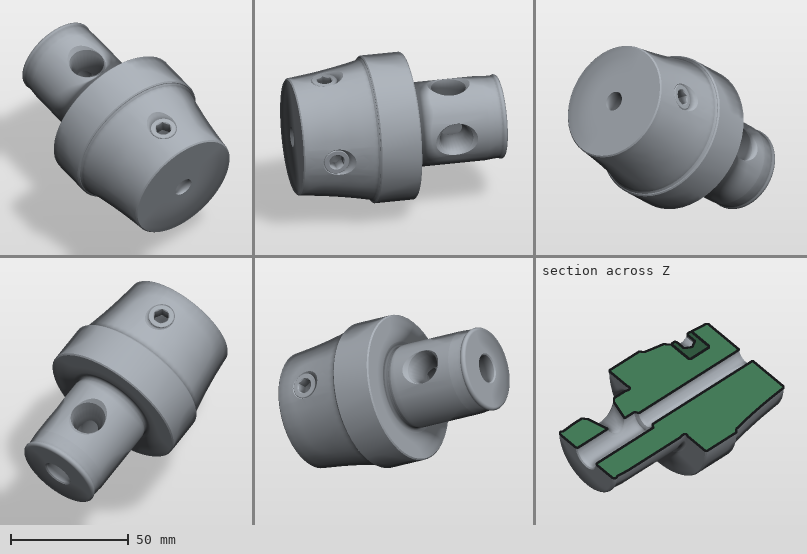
import cadquery as cq
import math


shank_radius = 18.0
nose_bead_radius = 1.3
nose_face_radius = shank_radius - nose_bead_radius
nose_bead_end_x = 2.1
lead_in_start_x = 2.4
lead_in_radius = 17.55
lead_in_end_x = 8.1

undercut_start_x = 37.4
undercut_floor_x = 38.8
undercut_radius = 17.6
undercut_rim_radius = 19.8
undercut_depth_in_flange = 0.3
undercut_corner = 0.8

flange_radius = 31.5
flange_start_x = 40.05
flange_end_x = 57.9
flange_chamfer = 0.5

head_end_x = 90.0
head_root_x = 58.7
head_root_radius = 29.9
head_step_radius = 30.6
head_middle_x = 74.25
head_middle_radius = 26.9
head_end_radius = 25.0
head_end_chamfer = 0.5

bore_radius = 12.0 / 2
bore_chamfer = 0.5
bore_end_x = 32.4
through_radius = 8.5 / 2
drill_point_angle = 118.0

seat_x = 22.2
seat_edge_radius = 7.4
seat_edge_height = 16.3
seat_half_angle = 15.0
seat_flare = 3.6

screw_x = 76.0
screw_radius = 11.0 / 2
screw_top = 25.9
screw_length = 12.0
screw_chamfer = 0.3
countersink_start = 25.5
countersink_height = 4.5
socket_flats = 6.0
socket_depth = 5.4
socket_turn = 30

radial_turns = (0, -90)


def turned(points_x_r):
    """Solid of revolution about X from (x, radius) corners."""
    return cq.Workplane("XY").polyline(points_x_r).close().revolve(360, (0, 0, 0), (1, 0, 0))


def radial_cone(x, low, low_radius, high, high_radius):
    """Cone standing along Z, between two heights above the X axis."""
    cone = cq.Solid.makeCone(low_radius, high_radius, high - low, cq.Vector(x, 0, low))
    return cq.Workplane(cone)


def radial_cylinder(x, low, high, radius):
    """Cylinder standing along Z, between two heights above the X axis."""
    return cq.Workplane("XY", origin=(x, 0, low)).circle(radius).extrude(high - low)


def turn_about_axis(part, angle):
    return part.rotate((0, 0, 0), (1, 0, 0), angle)


def make_blank():
    """Shank, undercut, flange and head as one turned outline."""
    undercut_face_x = flange_start_x + undercut_depth_in_flange
    bead_end_rise = math.sqrt(nose_bead_radius**2 - (nose_bead_end_x - nose_bead_radius) ** 2)
    return (
        cq.Workplane("XY")
        .moveTo(0, 0)
        .lineTo(0, nose_face_radius)
        .threePointArc(
            (nose_bead_radius, shank_radius),
            (nose_bead_end_x, nose_face_radius + bead_end_rise),
        )
        .lineTo(lead_in_start_x, lead_in_radius)
        .lineTo(lead_in_end_x, shank_radius)
        .lineTo(undercut_start_x, shank_radius)
        .lineTo(undercut_floor_x, undercut_radius)
        .lineTo(undercut_face_x - undercut_corner, undercut_radius)
        .radiusArc((undercut_face_x, undercut_radius + undercut_corner), -undercut_corner)
        .lineTo(flange_start_x, undercut_rim_radius)
        .lineTo(flange_start_x, flange_radius - flange_chamfer)
        .lineTo(flange_start_x + flange_chamfer, flange_radius)
        .lineTo(flange_end_x - flange_chamfer, flange_radius)
        .lineTo(flange_end_x, flange_radius - flange_chamfer)
        .lineTo(flange_end_x, head_step_radius)
        .lineTo(head_root_x, head_root_radius)
        .threePointArc(
            (head_middle_x, head_middle_radius),
            (head_end_x - head_end_chamfer, head_end_radius),
        )
        .lineTo(head_end_x, head_end_radius - head_end_chamfer)
        .lineTo(head_end_x, 0)
        .close()
        .revolve(360, (0, 0, 0), (1, 0, 0))
    )


def make_axial_hole():
    """Chamfered bore that ends in a drill point and goes on as a narrower through hole."""
    point_length = (bore_radius - through_radius) / math.tan(math.radians(drill_point_angle / 2))
    return turned([
        (0, 0),
        (0, bore_radius + bore_chamfer),
        (bore_chamfer, bore_radius),
        (bore_end_x, bore_radius),
        (bore_end_x + point_length, through_radius),
        (head_end_x, through_radius),
        (head_end_x, 0),
    ])


def make_seat():
    """Locking seat: a steep cone down to the bore, flared at 45 degrees at its mouth."""
    tip_radius = seat_edge_radius - seat_edge_height * math.tan(math.radians(seat_half_angle))
    cone = radial_cone(seat_x, 0, tip_radius, seat_edge_height, seat_edge_radius)
    flare = radial_cone(
        seat_x, seat_edge_height, seat_edge_radius, seat_edge_height + seat_flare, seat_edge_radius + seat_flare
    )
    return cone.union(flare)


def make_screw_hole():
    """Blind hole for a screw, countersunk at 45 degrees where the head surface is higher."""
    hole = radial_cylinder(screw_x, screw_top - screw_length, countersink_start, screw_radius)
    countersink = radial_cone(
        screw_x,
        countersink_start,
        screw_radius,
        countersink_start + countersink_height,
        screw_radius + countersink_height,
    )
    return hole.union(countersink)


def make_screw():
    """Set screw with a chamfered top and a hexagon socket ending in a drill point."""
    blank = radial_cylinder(screw_x, screw_top - screw_length, screw_top, screw_radius)
    blank = blank.faces(">Z").chamfer(screw_chamfer)
    socket_corner_radius = socket_flats / math.sqrt(3)
    socket_floor = screw_top - socket_depth
    socket = (
        cq.Workplane("XY", origin=(screw_x, 0, socket_floor))
        .polygon(6, 2 * socket_corner_radius)
        .extrude(socket_depth)
        .rotate((screw_x, 0, 0), (screw_x, 0, 1), socket_turn)
    )
    point_length = socket_flats / 2 / math.tan(math.radians(drill_point_angle / 2))
    point = radial_cone(screw_x, socket_floor - point_length, 0, socket_floor, socket_flats / 2)
    mouth_depth = socket_corner_radius - socket_flats / 2
    mouth = radial_cone(screw_x, screw_top - mouth_depth, socket_flats / 2, screw_top, socket_corner_radius)
    return blank.cut(socket).cut(point).cut(mouth)


def make_holder():
    holder = make_blank().cut(make_axial_hole())
    for angle in radial_turns:
        holder = holder.cut(turn_about_axis(make_seat(), angle))
        holder = holder.cut(turn_about_axis(make_screw_hole(), angle))
    return holder


holder = make_holder()
screws = [turn_about_axis(make_screw(), angle) for angle in radial_turns]

result = cq.Compound.makeCompound([holder.val(), *[screw.val() for screw in screws]])